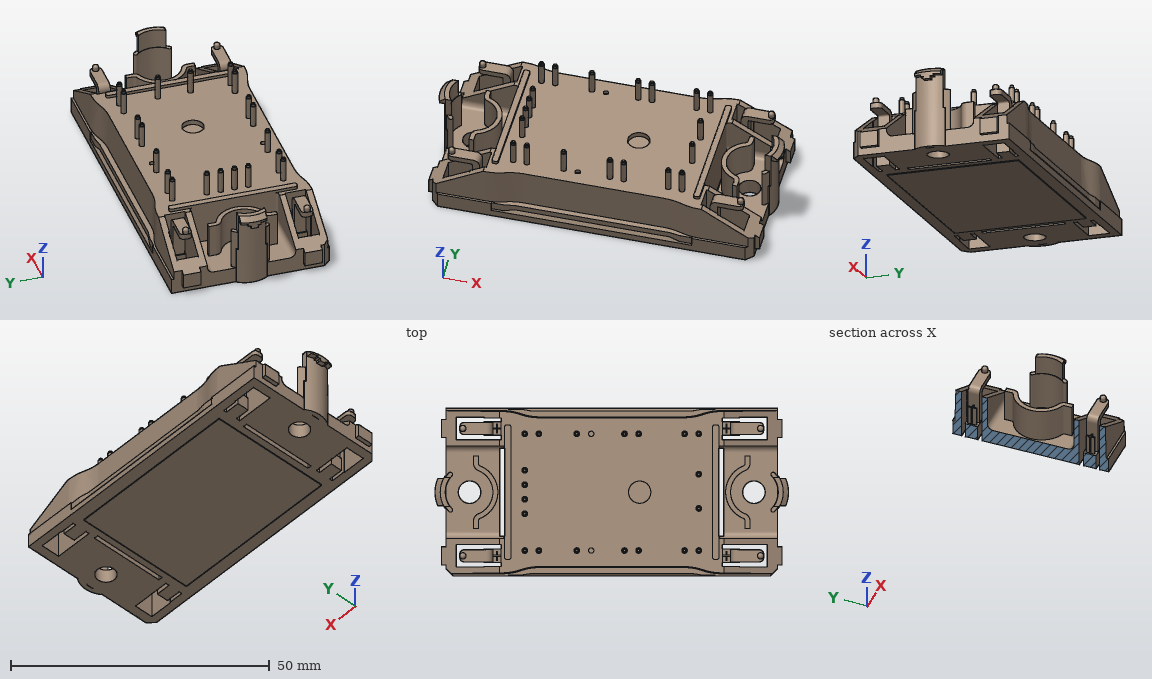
import cadquery as cq
import math

TOTAL_LENGTH = 68.4
TOTAL_WIDTH = 32.5
TOTAL_HEIGHT = 16.3

PLATE_LENGTH = 38.45
PLATE_WIDTH = 27.1
BASE_BOTTOM = 0.2
BASE_LENGTH = 64.15
BASE_TOP = 3.5
CORNER_CHAMFER = 1.45
BODY_TOP = 11.15
BODY_FOOT_WIDTH = 31.6
WAIST_FOOT_WIDTH = 29.15
WAIST_START = 14.0
WAIST_END = 21.15
BODY_DRAFT = 1.5
SLOPE_TOP_X = 21.75
SLOPE_ANGLE = 30.0

STEP_LENGTH = 39.95
STEP_BOTTOM = 1.65
STEP_SHOULDER = 2.3
STEP_DEPTH = 0.55
STEP_END_DEPTH = 0.2
STEP_MIDDLE_X = 15.45
STEP_TAPER_X = 17.5

DECK_END_X = 21.6
BAY_END_X = 20.7
BAY_WIDTH = 17.9
BAY_FILLET = 1.3
BAY_CORNER_RADIUS = 0.4
GAP_LENGTH = 16.95
WINDOW_INNER_X = 21.4
WINDOW_OUTER_X = 30.0
WINDOW_WIDTH = 4.3
WINDOW_Y = 12.3
TAB_REACH = 0.9
TAB_WIDTH = 3.55
TAB_BOTTOM = 1.65

HOLE_X = 27.5
HOLE_DIAMETER = 4.3
SCREEN_RADIUS = 5.0
SCREEN_THICKNESS = 0.95
SCREEN_BEND = 1.0
SCREEN_LEG_X = 26.25
SCREEN_HALF_WIDTH = 7.0
SCREEN_TOP = 10.45
CLIP_INNER_RADIUS = 4.7
CLIP_OUTER_RADIUS = 5.7
CLIP_TOP_WIDTH = 5.6
CLIP_FOOT_WIDTH = 6.3
CLIP_FOOT_TOP = 8.0
CLIP_TOP = 15.95
WING_RADIUS = 5.05
WING_THICKNESS = 0.8
WING_HALF_ANGLE = 43.0
WING_TOP = 11.8
HOOK_RADIUS = TOTAL_LENGTH / 2 - HOLE_X
HOOK_WIDTH = 5.35
HOOK_SLOPE_END = 15.05
HOOK_BOTTOM = 14.6
HOOK_LIPS = [(2.6, 14.15), (1.45, 13.6)]

ARM_TIP_X = 29.4
ARM_TIP_RADIUS = 0.9
ARM_BEND_X = 23.0
ARM_WIDTH = 2.4
ARM_TOP = 11.55
ARM_THICKNESS = 1.1
ARM_BEND_RADIUS = 1.3
ARM_INNER_RADIUS = 0.35
LIMB_THICKNESS = 1.45
ARM_FOOT_X = 24.7
ARM_FOOT_WIDTH = 2.7
ARM_RIB_THICKNESS = 0.3
ARM_RIB_TOP = 7.5
CROSS_RIB_WIDTH = 1.8
GUIDE_DEPTH = 0.15
KNOB_X = 28.8
KNOB_DIAMETER = 1.2
KNOB_HEIGHT = 0.6
KNOB_TIP = 0.5

RIB_WIDTH = 1.2
RIB_OUTER_X = BAY_END_X
RIB_LENGTH = 26.0
RIB_HEIGHT = 0.6
RIB_CORNER_RADIUS = 0.4
PIN_DIAMETER = 1.1
PIN_TIP_DIAMETER = 0.75
PIN_TIP_CHAMFER = 0.15
PIN_TIP_HEIGHT = 0.55
PIN_ROW_Y = 11.3
PIN_ROW_X = [-16.8, -14.1, -6.8, 2.45, 5.2, 14.1, 16.8]
PIN_COLUMN_X = 16.8
LEFT_COLUMN_Y = [-4.2, -1.4, 1.45, 4.25]
RIGHT_COLUMN_Y = [-3.15, 3.5]
VENT_X = -4.0
VENT_DIAMETER = 1.0
VENT_DEPTH = 0.7
DIMPLE_X = 5.4
DIMPLE_DIAMETER = 4.3
DIMPLE_DEPTH = 1.0

OVERSIZE = 41.05


def block(x0, x1, y0, y1, z0, z1):
    """Box between two opposite corners."""
    return cq.Workplane("XY").box(x1 - x0, y1 - y0, z1 - z0, centered=False).translate((x0, y0, z0))


def cylinder(x, y, diameter, z0, z1):
    return cq.Workplane("XY", origin=(x, y, z0)).circle(diameter / 2).extrude(z1 - z0)


def both_ends(shape):
    return shape.union(shape.mirror("YZ"))


def both_sides(shape):
    return shape.union(shape.mirror("XZ"))


def slope_z(x):
    """Height of the end slope at distance x from the middle."""
    return BODY_TOP - (x - SLOPE_TOP_X) * math.tan(math.radians(SLOPE_ANGLE))


def cut_slopes(shape):
    wedge = (
        cq.Workplane("XZ")
        .moveTo(-SLOPE_TOP_X, BODY_TOP)
        .lineTo(-OVERSIZE, slope_z(OVERSIZE))
        .lineTo(-OVERSIZE, OVERSIZE)
        .lineTo(-SLOPE_TOP_X, OVERSIZE)
        .close()
        .extrude(OVERSIZE, both=True)
    )
    return shape.cut(both_ends(wedge))


def make_step():
    """Notch in the +Y flange side: sloped sill, with a wall that stands deeper in the middle."""
    edge_y = TOTAL_WIDTH / 2
    end_y = edge_y - STEP_END_DEPTH
    middle_y = edge_y - STEP_DEPTH
    above_sill = (
        cq.Workplane("YZ")
        .moveTo(edge_y, STEP_BOTTOM)
        .lineTo(middle_y, STEP_SHOULDER)
        .lineTo(middle_y, BASE_TOP)
        .lineTo(edge_y, BASE_TOP)
        .close()
        .extrude(STEP_LENGTH / 2, both=True)
    )
    outside_wall = (
        cq.Workplane("XY")
        .moveTo(-STEP_LENGTH / 2, edge_y)
        .lineTo(-STEP_LENGTH / 2, end_y)
        .lineTo(-STEP_TAPER_X, end_y)
        .lineTo(-STEP_MIDDLE_X, middle_y)
        .lineTo(STEP_MIDDLE_X, middle_y)
        .lineTo(STEP_TAPER_X, end_y)
        .lineTo(STEP_LENGTH / 2, end_y)
        .lineTo(STEP_LENGTH / 2, edge_y)
        .close()
        .extrude(BASE_TOP)
    )
    return above_sill.intersect(outside_wall)


def make_flange():
    flange = block(
        -BASE_LENGTH / 2, BASE_LENGTH / 2, -TOTAL_WIDTH / 2, TOTAL_WIDTH / 2, BASE_BOTTOM, BASE_TOP
    )
    return flange.cut(both_sides(make_step()))


def make_body():
    """Waisted, drafted block; each side swings between two widths on pairs of tangent arcs."""
    wide = BODY_FOOT_WIDTH / 2
    narrow = WAIST_FOOT_WIDTH / 2
    end = OVERSIZE
    half_run = (WAIST_END - WAIST_START) / 2
    half_rise = (wide - narrow) / 2
    radius = (half_run**2 + half_rise**2) / (2 * half_rise)
    mid = (WAIST_START + half_run, narrow + half_rise)
    half_angle = math.asin(half_run / radius) / 2
    run = radius * math.sin(half_angle)
    rise = radius * (1 - math.cos(half_angle))
    inner = (WAIST_START + run, narrow + rise)
    outer = (WAIST_END - run, wide - rise)
    outline = (
        cq.Workplane("XY", origin=(0, 0, BASE_TOP))
        .moveTo(-end, wide)
        .lineTo(-WAIST_END, wide)
        .threePointArc((-outer[0], outer[1]), (-mid[0], mid[1]))
        .threePointArc((-inner[0], inner[1]), (-WAIST_START, narrow))
        .lineTo(WAIST_START, narrow)
        .threePointArc(inner, mid)
        .threePointArc(outer, (WAIST_END, wide))
        .lineTo(end, wide)
        .lineTo(end, -wide)
        .lineTo(WAIST_END, -wide)
        .threePointArc((outer[0], -outer[1]), (mid[0], -mid[1]))
        .threePointArc((inner[0], -inner[1]), (WAIST_START, -narrow))
        .lineTo(-WAIST_START, -narrow)
        .threePointArc((-inner[0], -inner[1]), (-mid[0], -mid[1]))
        .threePointArc((-outer[0], -outer[1]), (-WAIST_END, -wide))
        .lineTo(-end, -wide)
        .close()
    )
    body = outline.extrude(BODY_TOP - BASE_TOP, taper=BODY_DRAFT)
    return body.intersect(
        block(-BASE_LENGTH / 2, BASE_LENGTH / 2, -TOTAL_WIDTH, TOTAL_WIDTH, BASE_TOP, BODY_TOP)
    )


def make_tabs():
    end = BASE_LENGTH / 2
    tab = block(
        -end - TAB_REACH, -end,
        WINDOW_Y - TAB_WIDTH / 2, WINDOW_Y + TAB_WIDTH / 2,
        TAB_BOTTOM, BODY_TOP,
    )
    return both_ends(both_sides(tab))


def make_corner_cuts():
    end = BASE_LENGTH / 2
    edge_y = -TOTAL_WIDTH / 2
    corner = (
        cq.Workplane("XY")
        .moveTo(-end, edge_y)
        .lineTo(-end, edge_y + CORNER_CHAMFER)
        .lineTo(-end + CORNER_CHAMFER, edge_y)
        .close()
        .extrude(BODY_TOP)
    )
    return both_ends(corner)


def make_bay_cuts():
    """Open bay above the mounting deck, gap behind it, screw hole and the two arm windows."""
    bay = block(-OVERSIZE, -BAY_END_X, -BAY_WIDTH / 2, BAY_WIDTH / 2, BASE_TOP, OVERSIZE)
    bay = bay.edges("|X and <Z").fillet(BAY_FILLET)
    bay = bay.edges("|Z and >X").fillet(BAY_CORNER_RADIUS)
    gap = block(-DECK_END_X, -BAY_END_X, -GAP_LENGTH / 2, GAP_LENGTH / 2, 0, BODY_TOP)
    hole = cylinder(-HOLE_X, 0, HOLE_DIAMETER, 0, BODY_TOP)
    window = block(
        -WINDOW_OUTER_X, -WINDOW_INNER_X,
        WINDOW_Y - WINDOW_WIDTH / 2, WINDOW_Y + WINDOW_WIDTH / 2,
        0, OVERSIZE,
    )
    return both_ends(bay.union(gap).union(hole).union(both_sides(window)))


def screen_side(offset):
    """Tangent points of one face of the screen wall: bend start, bend middle, bend end, crown."""
    bend_x = SCREEN_LEG_X - SCREEN_BEND
    reach = SCREEN_RADIUS + SCREEN_BEND
    bend_y = math.sqrt(reach**2 - (HOLE_X - bend_x) ** 2)
    radius = SCREEN_BEND - offset
    to_hole = math.atan2(-bend_y, bend_x - HOLE_X)
    angles = [-math.pi, (to_hole - math.pi) / 2, to_hole]
    points = [(-bend_x + radius * math.cos(a), bend_y + radius * math.sin(a)) for a in angles]
    return points + [(-HOLE_X + SCREEN_RADIUS + offset, 0)]


def make_screen():
    """S-ended wall that curves around the screw hole."""
    inner = screen_side(-SCREEN_THICKNESS / 2)
    outer = screen_side(SCREEN_THICKNESS / 2)
    mirrored_in = [(x, -y) for x, y in inner]
    mirrored_out = [(x, -y) for x, y in outer]
    wall = (
        cq.Workplane("XY", origin=(0, 0, BASE_TOP))
        .moveTo(inner[0][0], SCREEN_HALF_WIDTH)
        .lineTo(*inner[0])
        .threePointArc(inner[1], inner[2])
        .threePointArc(inner[3], mirrored_in[2])
        .threePointArc(mirrored_in[1], mirrored_in[0])
        .lineTo(inner[0][0], -SCREEN_HALF_WIDTH)
        .lineTo(outer[0][0], -SCREEN_HALF_WIDTH)
        .lineTo(*mirrored_out[0])
        .threePointArc(mirrored_out[1], mirrored_out[2])
        .threePointArc(outer[3], outer[2])
        .threePointArc(outer[1], outer[0])
        .lineTo(outer[0][0], SCREEN_HALF_WIDTH)
        .close()
    )
    return wall.extrude(SCREEN_TOP - BASE_TOP)


def ring_sector(profile, width):
    """Radius/height profile turned about the hole axis, kept on the outer side within a width."""
    ring = (
        cq.Workplane("XZ").polyline(profile).close()
        .revolve(360, (0, 0, 0), (0, 1, 0))
        .translate((-HOLE_X, 0, 0))
    )
    return ring.intersect(block(-OVERSIZE, -HOLE_X, -width / 2, width / 2, 0, OVERSIZE))


def upright_ring(inner, outer, z0, z1, width):
    return ring_sector([(inner, z0), (outer, z0), (outer, z1), (inner, z1)], width)


def make_wings():
    """Curved wall with rounded ends that flanks the post."""
    half_angle = math.radians(WING_HALF_ANGLE)
    end_y = WING_RADIUS * math.sin(half_angle)
    end_x = -HOLE_X - WING_RADIUS * math.cos(half_angle)
    ring = upright_ring(
        WING_RADIUS - WING_THICKNESS / 2, WING_RADIUS + WING_THICKNESS / 2,
        BASE_BOTTOM, WING_TOP, OVERSIZE,
    )
    far_x = -OVERSIZE
    far_y = end_y / (end_x + HOLE_X) * (far_x + HOLE_X)
    sector = (
        cq.Workplane("XY")
        .polyline([(-HOLE_X, 0), (far_x, far_y), (far_x, -far_y)])
        .close()
        .extrude(WING_TOP)
    )
    wing_end = cylinder(end_x, end_y, WING_THICKNESS, BASE_BOTTOM, WING_TOP)
    return ring.intersect(sector).union(both_sides(wing_end))


def make_clip():
    """Curved snap post on a wider foot, with lower side wings and an outward hook."""
    foot = upright_ring(
        CLIP_INNER_RADIUS, CLIP_OUTER_RADIUS, BASE_BOTTOM, CLIP_FOOT_TOP, CLIP_FOOT_WIDTH
    )
    post = upright_ring(CLIP_INNER_RADIUS, CLIP_OUTER_RADIUS, CLIP_FOOT_TOP, CLIP_TOP, CLIP_TOP_WIDTH)
    hook = ring_sector(
        [
            (CLIP_INNER_RADIUS, HOOK_BOTTOM),
            (HOOK_RADIUS, HOOK_BOTTOM),
            (HOOK_RADIUS, HOOK_SLOPE_END),
            (CLIP_OUTER_RADIUS, CLIP_TOP),
            (CLIP_INNER_RADIUS, CLIP_TOP),
        ],
        HOOK_WIDTH,
    )
    clip = foot.union(post).union(make_wings()).union(hook)
    for width, bottom in HOOK_LIPS:
        clip = clip.union(upright_ring(CLIP_INNER_RADIUS, HOOK_RADIUS, bottom, HOOK_BOTTOM, width))
    return clip


def make_arm():
    """Strip bent from a horizontal finger into an upright limb, on a foot joined to the body."""
    y0 = WINDOW_Y - ARM_WIDTH / 2
    y1 = WINDOW_Y + ARM_WIDTH / 2
    underside = ARM_TOP - ARM_THICKNESS
    limb_x = -ARM_BEND_X - LIMB_THICKNESS
    strip = block(-ARM_TIP_X, -ARM_BEND_X, y0, y1, BASE_BOTTOM, ARM_TOP)
    below = block(-ARM_TIP_X, limb_x, y0, y1, BASE_BOTTOM, underside)
    below = below.edges("|Y and >X and >Z").fillet(ARM_INNER_RADIUS)
    strip = strip.edges("|Y and >X and >Z").fillet(ARM_BEND_RADIUS).cut(below)
    strip = strip.edges("|Z and <X").fillet(ARM_TIP_RADIUS)
    foot = block(
        -ARM_FOOT_X, -WINDOW_INNER_X,
        WINDOW_Y - ARM_FOOT_WIDTH / 2, WINDOW_Y + ARM_FOOT_WIDTH / 2,
        BASE_BOTTOM, BASE_TOP,
    )
    rib = block(
        -ARM_BEND_X, -WINDOW_INNER_X,
        WINDOW_Y - ARM_RIB_THICKNESS / 2, WINDOW_Y + ARM_RIB_THICKNESS / 2,
        BASE_TOP, ARM_RIB_TOP,
    )
    cross_x = -(ARM_BEND_X + WINDOW_INNER_X) / 2
    cross_rib = block(
        cross_x - ARM_RIB_THICKNESS / 2, cross_x + ARM_RIB_THICKNESS / 2,
        WINDOW_Y - CROSS_RIB_WIDTH / 2, WINDOW_Y + CROSS_RIB_WIDTH / 2,
        BASE_TOP, ARM_RIB_TOP,
    )
    knob = cylinder(-KNOB_X, WINDOW_Y, KNOB_DIAMETER, ARM_TOP, ARM_TOP + KNOB_HEIGHT + KNOB_TIP)
    knob = knob.faces(">Z").edges().fillet(KNOB_TIP)
    return strip.union(foot).union(rib).union(cross_rib).union(knob)


def make_guide():
    """Thin pad on the outer wall of a window."""
    wall_y = WINDOW_Y + WINDOW_WIDTH / 2
    guide = block(-ARM_FOOT_X, -WINDOW_INNER_X, wall_y - GUIDE_DEPTH, wall_y, BASE_BOTTOM, BODY_TOP)
    return cut_slopes(guide)


def make_pin(x, y):
    shoulder = TOTAL_HEIGHT - PIN_TIP_HEIGHT
    shaft = cylinder(x, y, PIN_DIAMETER, BODY_TOP, shoulder)
    tip = cylinder(x, y, PIN_TIP_DIAMETER, shoulder, TOTAL_HEIGHT).faces(">Z").chamfer(PIN_TIP_CHAMFER)
    return shaft.union(tip)


def pin_positions():
    rows = [(x, side * PIN_ROW_Y) for x in PIN_ROW_X for side in (-1, 1)]
    left = [(-PIN_COLUMN_X, y) for y in LEFT_COLUMN_Y]
    right = [(PIN_COLUMN_X, y) for y in RIGHT_COLUMN_Y]
    return rows + left + right


housing = cut_slopes(make_flange().union(make_body()).union(make_tabs()))
housing = housing.cut(make_corner_cuts()).cut(make_bay_cuts())
plate = block(-PLATE_LENGTH / 2, PLATE_LENGTH / 2, -PLATE_WIDTH / 2, PLATE_WIDTH / 2, 0, BASE_BOTTOM)
housing = housing.union(plate)

end_parts = make_screen().union(make_clip()).union(both_sides(make_arm().union(make_guide())))
result = housing.union(both_ends(end_parts))

rib = block(
    -RIB_OUTER_X, -RIB_OUTER_X + RIB_WIDTH,
    -RIB_LENGTH / 2, RIB_LENGTH / 2,
    BODY_TOP, BODY_TOP + RIB_HEIGHT,
).edges("|Z").fillet(RIB_CORNER_RADIUS)
result = result.union(both_ends(rib))
for pin_x, pin_y in pin_positions():
    result = result.union(make_pin(pin_x, pin_y))
vent = cylinder(VENT_X, PIN_ROW_Y, VENT_DIAMETER, BODY_TOP - VENT_DEPTH, BODY_TOP)
dimple = cylinder(DIMPLE_X, 0, DIMPLE_DIAMETER, BODY_TOP - DIMPLE_DEPTH, BODY_TOP)
result = result.cut(both_sides(vent)).cut(dimple)